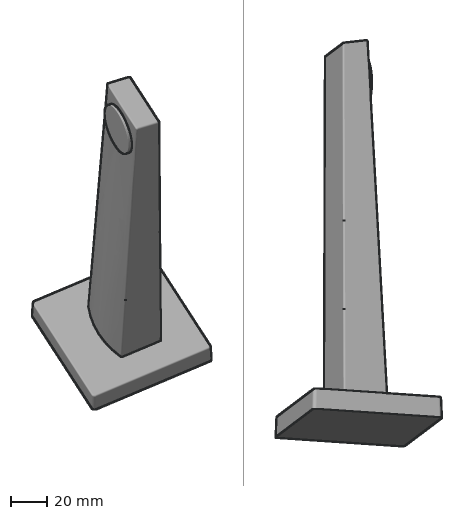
import cadquery as cq
import math

BASE_SIDE = 75.0
BASE_HEIGHT = 12.0
BASE_DRAFT_ANGLE = 2.0
BASE_CORNER_RADIUS = 2.0
BASE_TOP_FILLET = 1.0

OVERALL_HEIGHT = 216.82
COLUMN_BACK_Y = 14.5
FOOT_WIDTH = 40.0
FOOT_CORNER_Y = -10.6
FOOT_BULGE = 3.8
HEAD_WIDTH = 36.0
HEAD_CORNER_Y = 0.0
HEAD_BULGE = 0.1
TOP_SLOPE_ANGLE = 10.0
COLUMN_FILLET = 1.0

BUTTON_DIAMETER = 29.0
BUTTON_CENTRE_HEIGHT = 196.9
BUTTON_PROTRUSION = 1.8
BUTTON_RIM_FILLET = 0.2
BUTTON_EMBED_DEPTH = 3.0

FOOT_FRONT_Y = FOOT_CORNER_Y - FOOT_BULGE
HEAD_FRONT_Y = HEAD_CORNER_Y - HEAD_BULGE
FRONT_SLOPE = (HEAD_FRONT_Y - FOOT_FRONT_Y) / (OVERALL_HEIGHT - BASE_HEIGHT)

FRONT_LEAN_ANGLE = math.degrees(math.atan(FRONT_SLOPE))
PEAK_HALF_ANGLE = (90 - TOP_SLOPE_ANGLE + FRONT_LEAN_ANGLE) / 2
PEAK_BISECTOR_ANGLE = TOP_SLOPE_ANGLE + PEAK_HALF_ANGLE
PEAK_LOSS = COLUMN_FILLET * (
    math.sin(math.radians(PEAK_BISECTOR_ANGLE)) / math.sin(math.radians(PEAK_HALF_ANGLE)) - 1
)
PEAK_HEIGHT = OVERALL_HEIGHT + PEAK_LOSS


def make_base():
    plate = (
        cq.Workplane("XY")
        .rect(BASE_SIDE, BASE_SIDE)
        .extrude(BASE_HEIGHT, taper=BASE_DRAFT_ANGLE)
    )
    plate = plate.edges("not (#Z)").fillet(BASE_CORNER_RADIUS)
    return plate.faces(">Z").edges().fillet(BASE_TOP_FILLET)


def column_section(width, corner_y, bulge, height):
    """Closed section with a flat back and a front arc split at its middle."""
    half = width / 2
    radius = (half**2 + bulge**2) / (2 * bulge)
    front_y = corner_y - bulge
    quarter_y = front_y + radius - math.sqrt(radius**2 - (half / 2) ** 2)
    return (
        cq.Workplane("XY", origin=(0, 0, height))
        .moveTo(half, corner_y)
        .lineTo(half, COLUMN_BACK_Y)
        .lineTo(-half, COLUMN_BACK_Y)
        .lineTo(-half, corner_y)
        .threePointArc((-half / 2, quarter_y), (0, front_y))
        .threePointArc((half / 2, quarter_y), (half, corner_y))
        .close()
        .val()
    )


def is_front_seam(edge):
    """True for the upright edge along the middle of the front."""
    box = edge.BoundingBox()
    return box.xlen < COLUMN_FILLET and abs(edge.Center().x) < COLUMN_FILLET


def make_column():
    foot = column_section(FOOT_WIDTH, FOOT_CORNER_Y, FOOT_BULGE, BASE_HEIGHT)
    head = column_section(HEAD_WIDTH, HEAD_CORNER_Y, HEAD_BULGE, PEAK_HEIGHT)
    column = cq.Workplane(cq.Solid.makeLoft([foot, head], True))

    top_drop = (COLUMN_BACK_Y - HEAD_FRONT_Y) * math.tan(math.radians(TOP_SLOPE_ANGLE))
    waste = (
        cq.Workplane("YZ")
        .moveTo(HEAD_FRONT_Y, PEAK_HEIGHT)
        .lineTo(COLUMN_BACK_Y, PEAK_HEIGHT - top_drop)
        .lineTo(COLUMN_BACK_Y, PEAK_HEIGHT)
        .close()
        .extrude(FOOT_WIDTH, both=True)
    )
    column = column.cut(waste)

    rounded_edges = column.edges("not <Z").filter(lambda edge: not is_front_seam(edge))
    return rounded_edges.fillet(COLUMN_FILLET)


def make_button():
    centre_y = HEAD_FRONT_Y - FRONT_SLOPE * (OVERALL_HEIGHT - BUTTON_CENTRE_HEIGHT)
    front_plane = cq.Plane(
        origin=(0, centre_y, BUTTON_CENTRE_HEIGHT),
        xDir=(1, 0, 0),
        normal=(0, -1, FRONT_SLOPE),
    )
    return (
        cq.Workplane(front_plane)
        .workplane(offset=-BUTTON_EMBED_DEPTH)
        .circle(BUTTON_DIAMETER / 2)
        .extrude(BUTTON_EMBED_DEPTH + BUTTON_PROTRUSION)
        .faces("<Y")
        .edges()
        .fillet(BUTTON_RIM_FILLET)
    )


result = make_base().union(make_column()).union(make_button())